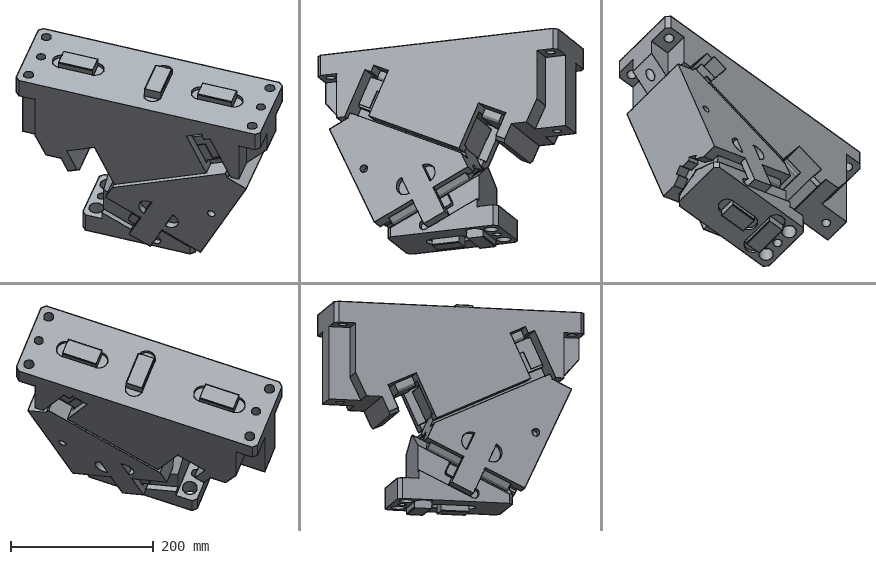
import cadquery as cq
import math

LENGTH = 360.0
WIDTH = 110.0
HEIGHT = 275.0
HALF = WIDTH / 2
TILT = 25.0
COS = math.cos(math.radians(TILT))
SIN = math.sin(math.radians(TILT))
CORNER = 5.8
FAR = 720.0

KEY_LENGTH = 50.0
SHORT_KEY_LENGTH = 40.0
KEY_WIDTH = 25.0
KEY_HEIGHT = 9.0
KEY_CHAMFER = 1.0
KEYWAY_DEPTH = 5.0

PLATE = 30.0
NOTCH = 30.0
WEB_HALF = 20.0
WEB_BOTTOM = 142.0
NOTCH_BREAK = 174.2
NOTCH_FOOT = 45.7
RIGHT_LIP = 180.5
RIGHT_SLOPE_TOP = 214.5
BOLT_INSET = 15.0
BOLT_Y = 40.0
BOLT_DIA = 13.5
DOWEL_DIA = 12.2
DOWEL_LEFT = 20.5
KEY_LEFT = 75.2
KEY_MIDDLE = 193.5
KEY_RIGHT = 280.0

GUIDE_X = 143.5
GUIDE_Z = 107.5
SHOULDER_GAP = 5.0
HOOK_U = -54.0
HOOK_END_V = 34.5
HOOK_CHAMFER = 5.0
LEFT_SLOT_U = -39.2
LEFT_WALL_U = 5.8
SLOT_V = 75.0
BUMPER_U = -22.0
BUMPER_BOTTOM_V = 61.2
BUMPER_FILLET = 3.2
RIGHT_SLOT_V = 64.8
BUMPER_HALF = 28.5
RIGHT_WALL_U = 155.0
RIGHT_POCKET_U = 179.3
RIGHT_SLOT_U = 189.0

RAIL_END_U = 183.5
RAIL_TOP = 60.0
RAIL_NECK = 14.8
NECK_HALF = 28.5
RAIL_HALF = 40.0
RAIL_RELIEF = 1.5
LOW_RELIEF_TOP = 18.0
SIDE_RELIEF_END = 166.0
SIDE_RELIEF_TOP = 44.3
LIP_HALF = 34.0
LIP_TOP = 13.5
CHANNEL_HALF = 42.5
CHANNEL_TOP = RIGHT_SLOT_V

LEFT_FACE = 24.0
RAMP_X = GUIDE_X - LEFT_FACE * SIN
RAMP_Z = GUIDE_Z - LEFT_FACE * COS
ROOF_ANGLE = 30.0
ROOF_SLOPE = math.tan(math.radians(ROOF_ANGLE))
SLIDER_BOTTOM = 10.0
SLIDER_RUN = 154.8
SHOULDER_DROP_V = -8.3

FOOT_LEFT = 94.5
DRIVER_LEFT = 124.2
DRIVER_RIGHT = 260.0
FOOT_HEIGHT = 30.0
DRIVER_HALF = 43.0
NECK = 35.0
RIDGE_FLAT = 3.0
GROOVE_BOTTOM = -34.0
GROOVE_RADIUS = 7.0
GROOVE_END_S = 95.0
NUB_S = 45.7
NUB_FILLET = 3.5
FOOT_BOLT_X = 110.0
FOOT_BOLT_Y = 25.0
FOOT_BOLT_DIA = 20.0
CROSS_KEY_X = 134.3
LONG_KEY_X = 183.2

ROOF_CLEARANCE = 8.3
CEILING_FLAT = 6.0
PAD_START = 8.5
PAD_END = 136.0
PAD_EDGE = 35.5
PAD_CHAMFER = 2.0
RELIEF_NEAR = 7.0
RELIEF_FAR = 18.0
RELIEF_RISE = 4.5
CLAW_S = 57.5
CLAW_WIDTH = 34.5
CLAW_END = -31.0
CLAW_THICK = 9.7
CLAW_LIP_TOP = -20.5
CLAW_TIP = 35.5
CLAW_KEYWAY_N = 34.5
CLAW_KEYWAY_RADIUS = 13.5
CLAW_KEYWAY_DEPTH = 9.7
SIDE_HOLE_X = 289.5
SIDE_HOLE_Z = 100.8
SIDE_HOLE_DIA = 10.8
SIDE_HOLE_DEPTH = 14.5


def guide_point(u, v):
    """World (x, z) of a point in the guide frame."""
    return (GUIDE_X + u * COS - v * SIN, GUIDE_Z + u * SIN + v * COS)


def ramp_point(s, n):
    """World (x, z) of a point in the ramp frame."""
    rise = n - SLIDER_BOTTOM
    return (RAMP_X + s * COS + rise * SIN, RAMP_Z - s * SIN + rise * COS)


def sides_only(body, inner):
    """Remove the middle of a body, |y| < inner."""
    return body.cut(cq.Workplane("XY").box(2 * FAR, 2 * inner, 2 * FAR))


def slab(points, half, inner=0.0):
    """Extrude an XZ outline symmetrically in Y; with inner > 0 keep only inner <= |y| <= half."""
    body = cq.Workplane("XZ").polyline(points).close().extrude(half, both=True)
    return sides_only(body, inner) if inner > 0 else body


def rectangle(to_world, a0, a1, b0, b1):
    return [to_world(a0, b0), to_world(a1, b0), to_world(a1, b1), to_world(a0, b1)]


def along_ramp(points, start, end):
    """Extrude a (y, n) section and its mirror image along the ramp."""
    x, z = ramp_point(start, 0)
    plane = cq.Plane(origin=(x, 0, z), xDir=(0, 1, 0), normal=(COS, 0, -SIN))
    mirrored = [(-y, n) for y, n in points]
    one = cq.Workplane(plane).polyline(points).close().extrude(end - start)
    return one.union(cq.Workplane(plane).polyline(mirrored).close().extrude(end - start))


def key(x, z_root, z_tip, length, across):
    """Rectangular key; the long edges of its free face are chamfered."""
    long_axis = "|Y" if across else "|X"
    size = (KEY_WIDTH, length) if across else (length, KEY_WIDTH)
    height = abs(z_tip - z_root)
    bar = cq.Workplane("XY").box(*size, height).translate((x, 0, (z_root + z_tip) / 2))
    free_face = ">Z" if z_tip > z_root else "<Z"
    return bar.faces(free_face).edges(long_axis).chamfer(KEY_CHAMFER)


def keyway(x, z, length, across, depth):
    angle = 90 if across else 0
    return (cq.Workplane("XY", origin=(x, 0, z))
            .slot2D(length + KEY_WIDTH, KEY_WIDTH, angle).extrude(depth))


def roof_height(y):
    return (NECK - y) * ROOF_SLOPE


def base_blank():
    hook_root_v = (WEB_BOTTOM - GUIDE_Z - HOOK_U * SIN) / COS
    slot_exit_v = (RIGHT_LIP - GUIDE_Z - RIGHT_SLOT_U * SIN) / COS
    outline = [
        (0, HEIGHT), (0, WEB_BOTTOM),
        guide_point(HOOK_U, hook_root_v), guide_point(HOOK_U, HOOK_END_V),
        guide_point(LEFT_SLOT_U, HOOK_END_V), guide_point(LEFT_SLOT_U, SLOT_V),
        guide_point(LEFT_WALL_U, SLOT_V), guide_point(LEFT_WALL_U, SHOULDER_GAP),
        guide_point(RIGHT_WALL_U, SHOULDER_GAP), guide_point(RIGHT_WALL_U, RIGHT_SLOT_V),
        guide_point(RIGHT_SLOT_U, RIGHT_SLOT_V), guide_point(RIGHT_SLOT_U, slot_exit_v),
        (LENGTH - NOTCH, RIGHT_LIP), (LENGTH, RIGHT_SLOPE_TOP), (LENGTH, HEIGHT),
    ]
    return slab(outline, HALF)


def hook_chamfers():
    x, z = guide_point(HOOK_U, HOOK_END_V)
    plane = cq.Plane(origin=(x, 0, z), xDir=(0, 1, 0), normal=(COS, 0, SIN))
    width = LEFT_SLOT_U - HOOK_U
    corner = [(HALF, 0), (HALF - HOOK_CHAMFER, 0), (HALF, HOOK_CHAMFER)]
    wedge = cq.Workplane(plane).polyline(corner).close().extrude(width)
    return wedge.union(wedge.mirror("XZ"))


def end_notches():
    under_plate = HEIGHT - PLATE
    left = [(0, under_plate), (NOTCH, under_plate), (NOTCH, NOTCH_BREAK),
            (NOTCH_FOOT, WEB_BOTTOM), (0, WEB_BOTTOM)]
    right = rectangle(lambda x, z: (x, z), LENGTH - NOTCH, LENGTH, RIGHT_LIP, under_plate)
    return slab(left, HALF, WEB_HALF).union(slab(right, HALF, WEB_HALF))


def rail_channel():
    mouth = slab(rectangle(guide_point, LEFT_WALL_U, RIGHT_WALL_U, 0, LIP_TOP), LIP_HALF)
    chamber = slab(rectangle(guide_point, LEFT_WALL_U, RIGHT_WALL_U, LIP_TOP, CHANNEL_TOP), CHANNEL_HALF)
    return mouth.union(chamber)


def bumper(start, end):
    """Bar along the guide with rounded edges; its upper edges are buried in the base."""
    top = SLOT_V + 2 * BUMPER_FILLET
    bar = slab(rectangle(guide_point, start, end, BUMPER_BOTTOM_V, top), BUMPER_HALF)
    along_guide = cq.selectors.ParallelDirSelector(cq.Vector(COS, 0, SIN))
    return bar.edges(along_guide).fillet(BUMPER_FILLET)


def build_base():
    body = base_blank().cut(end_notches()).cut(hook_chamfers()).cut(rail_channel())
    plate_corners = (cq.Workplane("XY").rect(LENGTH, WIDTH).extrude(HEIGHT)
                     .edges("|Z").chamfer(CORNER).translate((LENGTH / 2, 0, 0)))
    body = body.intersect(plate_corners)

    body = body.union(bumper(BUMPER_U, LEFT_WALL_U))
    side_pocket = rectangle(guide_point, RIGHT_WALL_U, RIGHT_POCKET_U, RIGHT_SLOT_V, SLOT_V)
    body = body.cut(slab(side_pocket, HALF, BUMPER_HALF)).union(bumper(RIGHT_WALL_U, RIGHT_POCKET_U))

    bolts = [(x, y) for x in (BOLT_INSET, LENGTH - BOLT_INSET) for y in (BOLT_Y, -BOLT_Y)]
    dowels = [(DOWEL_LEFT, 0), (LENGTH - BOLT_INSET, 0)]
    for spots, diameter in ((bolts, BOLT_DIA), (dowels, DOWEL_DIA)):
        body = body.cut(cq.Workplane("XY").pushPoints(spots).circle(diameter / 2).extrude(HEIGHT))

    for x, across in ((KEY_LEFT, False), (KEY_MIDDLE, True), (KEY_RIGHT, False)):
        root = HEIGHT - KEYWAY_DEPTH
        body = body.cut(keyway(x, root, KEY_LENGTH, across, KEYWAY_DEPTH))
        body = body.union(key(x, root, HEIGHT + KEY_HEIGHT, KEY_LENGTH, across))
    return body


def slider_blank():
    turn_x, turn_z = guide_point(RAIL_END_U, SHOULDER_DROP_V)
    turn_n = SLIDER_BOTTOM + (turn_x - RAMP_X) * SIN + (turn_z - RAMP_Z) * COS
    outline = [
        ramp_point(0, SLIDER_BOTTOM), guide_point(0, 0), guide_point(RAIL_END_U, 0),
        (turn_x, turn_z), ramp_point(SLIDER_RUN, turn_n), ramp_point(SLIDER_RUN, SLIDER_BOTTOM),
    ]
    return slab(outline, HALF)


def rail():
    """T-shaped rail; its sides are relieved below and at the left of the running faces."""
    head_start = RAIL_NECK * math.tan(math.radians(2 * TILT))
    neck = [guide_point(0, 0), guide_point(RAIL_END_U, 0),
            guide_point(RAIL_END_U, RAIL_NECK), guide_point(head_start, RAIL_NECK)]
    head = slab(rectangle(guide_point, head_start, RAIL_END_U, RAIL_NECK, RAIL_TOP), RAIL_HALF)
    for end, top in ((RAIL_END_U, LOW_RELIEF_TOP), (SIDE_RELIEF_END, SIDE_RELIEF_TOP)):
        relief = rectangle(guide_point, head_start, end, RAIL_NECK, top)
        head = head.cut(slab(relief, RAIL_HALF, RAIL_HALF - RAIL_RELIEF))
    return slab(neck, NECK_HALF).union(head)


def roof_ceiling():
    flat = roof_height(CEILING_FLAT) + ROOF_CLEARANCE
    edge = NECK + (ROOF_CLEARANCE - SLIDER_BOTTOM) / ROOF_SLOPE
    section = [(0, SLIDER_BOTTOM), (edge, SLIDER_BOTTOM), (CEILING_FLAT, flat), (0, flat)]
    cutter = along_ramp(section, 0, SLIDER_RUN)
    relief = []
    for y, lift in ((RELIEF_NEAR, 0), (RELIEF_FAR, 0), (RELIEF_FAR, 1), (RELIEF_NEAR, 1)):
        relief.append((y + lift * RELIEF_RISE * ROOF_SLOPE,
                       roof_height(y) + ROOF_CLEARANCE + lift * RELIEF_RISE))
    return cutter.union(along_ramp(relief, 0, SLIDER_RUN))


def wear_pads():
    """Pads from the ceiling down to both roof slopes; their outer edges are square to the slope."""
    bottom = roof_height(PAD_EDGE)
    top = SLIDER_BOTTOM
    outer_y = PAD_EDGE + PAD_CHAMFER
    outer_n = bottom + PAD_CHAMFER
    section = [(0, roof_height(0)), (PAD_EDGE, bottom), (outer_y, outer_n),
               (outer_y + (top - outer_n) * ROOF_SLOPE, top),
               (0, roof_height(0) + ROOF_CLEARANCE + 2 * RELIEF_RISE)]
    return along_ramp(section, PAD_START, PAD_END)


def claws():
    """Side plates with inward lips that reach under the driver's nubs."""
    end_s = CLAW_S + CLAW_WIDTH
    inner = HALF - CLAW_THICK
    plate = rectangle(ramp_point, CLAW_S, end_s, CLAW_END, CLAW_KEYWAY_N + CLAW_KEYWAY_RADIUS)
    lip = rectangle(ramp_point, CLAW_S, end_s, CLAW_END, CLAW_LIP_TOP)
    return slab(plate, HALF, inner).union(slab(lip, HALF, CLAW_TIP))


def claw_keyways():
    x, z = ramp_point(CLAW_S + CLAW_WIDTH / 2, CLAW_KEYWAY_N)
    diameter = 2 * CLAW_KEYWAY_RADIUS
    groove = (cq.Workplane("XZ", origin=(x, 0, z))
              .slot2D(CLAW_WIDTH + diameter, diameter, -TILT))
    return sides_only(groove.extrude(HALF, both=True), HALF - CLAW_KEYWAY_DEPTH)


def side_holes():
    """Blind holes with drill-point bottoms, one in each side."""
    radius = SIDE_HOLE_DIA / 2
    floor_y = HALF - SIDE_HOLE_DEPTH
    profile = [(0, floor_y - radius), (radius, floor_y), (radius, HALF), (0, HALF)]
    hole = (cq.Workplane("XY").polyline(profile).close()
            .revolve(360, (0, 0, 0), (0, 1, 0)).translate((SIDE_HOLE_X, 0, SIDE_HOLE_Z)))
    return hole.union(hole.mirror("XZ"))


def build_slider():
    body = slider_blank().union(rail()).cut(roof_ceiling()).union(wear_pads())
    body = body.cut(claw_keyways()).union(claws())
    return body.cut(side_holes())


def driver_blank():
    ridge = roof_height(RIDGE_FLAT)
    section = [(0, -FAR), (DRIVER_HALF, -FAR), (DRIVER_HALF, roof_height(DRIVER_HALF)),
               (RIDGE_FLAT, ridge), (0, ridge)]
    ramp = along_ramp(section, -FAR, FAR)
    limits = [(DRIVER_LEFT, 0), (DRIVER_RIGHT, 0), (DRIVER_RIGHT, HEIGHT), (DRIVER_LEFT, HEIGHT)]
    block = ramp.intersect(slab(limits, DRIVER_HALF))
    foot = [(FOOT_LEFT, 0), (DRIVER_LEFT, 0), (DRIVER_LEFT, FOOT_HEIGHT), (FOOT_LEFT, FOOT_HEIGHT)]
    envelope = (cq.Workplane("XY").rect(DRIVER_RIGHT - FOOT_LEFT, 2 * DRIVER_HALF).extrude(HEIGHT)
                .edges("|Z").chamfer(CORNER).translate(((FOOT_LEFT + DRIVER_RIGHT) / 2, 0, 0)))
    return block.union(slab(foot, DRIVER_HALF)).intersect(envelope)


def return_grooves():
    """Side grooves that leave a nub for the claw lips to catch."""
    nub_bottom = GROOVE_BOTTOM + 2 * GROOVE_RADIUS
    middle = GROOVE_BOTTOM + GROOVE_RADIUS
    profile = (cq.Workplane("XZ")
               .moveTo(*ramp_point(-FAR, GROOVE_BOTTOM))
               .lineTo(*ramp_point(GROOVE_END_S, GROOVE_BOTTOM))
               .threePointArc(ramp_point(GROOVE_END_S + GROOVE_RADIUS, middle),
                              ramp_point(GROOVE_END_S, nub_bottom))
               .lineTo(*ramp_point(NUB_S + NUB_FILLET, nub_bottom))
               .radiusArc(ramp_point(NUB_S, nub_bottom + NUB_FILLET), NUB_FILLET)
               .lineTo(*ramp_point(NUB_S, HEIGHT))
               .lineTo(*ramp_point(-FAR, HEIGHT))
               .close())
    grooves = sides_only(profile.extrude(DRIVER_HALF, both=True), NECK)
    beyond_front = cq.Workplane("XY").box(FAR, FAR, FAR).translate((DRIVER_LEFT - FAR / 2, 0, 0))
    return grooves.cut(beyond_front)


def build_driver():
    body = driver_blank().cut(return_grooves())
    bolts = [(FOOT_BOLT_X, FOOT_BOLT_Y), (FOOT_BOLT_X, -FOOT_BOLT_Y)]
    body = body.cut(cq.Workplane("XY").pushPoints(bolts).circle(FOOT_BOLT_DIA / 2).extrude(FOOT_HEIGHT))
    body = body.cut(cq.Workplane("XY").center(FOOT_BOLT_X, 0).circle(DOWEL_DIA / 2).extrude(FOOT_HEIGHT))
    for x, length, across in ((CROSS_KEY_X, KEY_LENGTH, True), (LONG_KEY_X, SHORT_KEY_LENGTH, False)):
        body = body.cut(keyway(x, 0, length, across, KEYWAY_DEPTH))
        body = body.union(key(x, KEYWAY_DEPTH, -KEY_HEIGHT, length, across))
    return body


base = build_base()
slider = build_slider()
driver = build_driver()
result = cq.Compound.makeCompound([base.solids().val(), slider.solids().val(), driver.solids().val()])